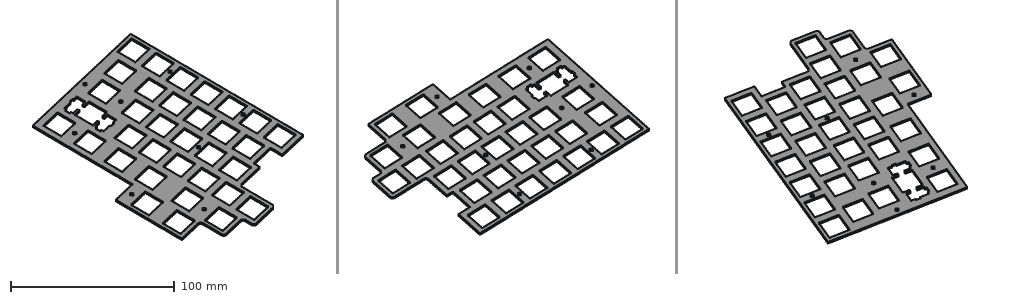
import cadquery as cq

plate_length = 157.5
plate_width = 113.3
plate_thickness = 1.5

number_row_right = 134.9
upper_row_right = 125.6
home_row_right = 130.3
bottom_row_right = 148.5
thumb_left = 78.0
thumb_right = 129.7

number_row_front = 20.6
upper_row_front = 37.2
shift_row_back = 56.9
shift_row_front = 77.0
bottom_row_front = 95.2
left_front = 96.7

corner_radius = 2.0

units_in_grid = 8
grid_length = 152.4
key_pitch = grid_length / units_in_grid
side_margin = 0.2
key_opening = 14.0

key_rows = [
    [0.5, 1.5, 2.5, 3.5, 4.5, 5.5, 6.5],
    [0.75, 2, 3, 4, 5, 6],
    [0.875, 2.25, 3.25, 4.25, 5.25, 6.25],
    [1.125, 2.75, 3.75, 4.75, 5.75, 6.75, 7.75],
    [0.625, 1.875, 3.125, 4.375, 5.875, 7.25],
]
number_row, upper_row, home_row, shift_row, bottom_row = range(len(key_rows))

thumb_key_x = [94.9, 119.6]
thumb_row_from_back = 103.7

hole_diameter = 2.4
holes_between_keys = [
    (number_row, 1),
    (number_row, 4),
    (home_row, 0),
    (home_row, 3),
    (bottom_row, 0),
    (bottom_row, 4),
]
left_hole_x = 3.8
left_hole_from_back = 50.0
thumb_hole_x = 82.7

stabilizer_offset = 12.0
stabilizer_width = 6.8
stabilizer_back = 5.5
stabilizer_front = -6.8
clip_width = 3.3
clip_front = -8.0
wire_slot_half_width = 2.4
side_notch_reach = 4.3
side_notch_back = 2.4
side_notch_front = -0.5


def key_x(units):
    """X of a position given in key units from the left."""
    return side_margin + units * key_pitch


def row_y(row):
    """Y of the key centres in a full-pitch row."""
    return -(row + 0.5) * key_pitch


def box(left, right, front, back):
    """Plate-thick block between the given limits."""
    return (
        cq.Workplane("XY")
        .box(right - left, back - front, plate_thickness, centered=False)
        .translate((left, front, 0))
    )


def plate_blank():
    """Stepped outline with rounded corners along the right side."""
    outline = [
        (0, 0),
        (number_row_right, 0),
        (number_row_right, -number_row_front),
        (upper_row_right, -number_row_front),
        (upper_row_right, -upper_row_front),
        (home_row_right, -upper_row_front),
        (home_row_right, -shift_row_back),
        (plate_length, -shift_row_back),
        (plate_length, -shift_row_front),
        (bottom_row_right, -shift_row_front),
        (bottom_row_right, -bottom_row_front),
        (thumb_right, -bottom_row_front),
        (thumb_right, -plate_width),
        (thumb_left, -plate_width),
        (thumb_left, -left_front),
        (0, -left_front),
    ]
    blank = cq.Workplane("XY").polyline(outline).close().extrude(plate_thickness)
    rounded = cq.selectors.BoxSelector(
        (thumb_right - corner_radius, -bottom_row_front - corner_radius, 0),
        (plate_length + corner_radius, -shift_row_back + corner_radius, plate_thickness),
    )
    return blank.edges("|Z").edges(rounded).fillet(corner_radius)


def key_openings():
    """Square switch openings of all rows and the thumb keys."""
    centers = [
        (key_x(units), row_y(row))
        for row, keys in enumerate(key_rows)
        for units in keys
    ]
    centers += [(x, -thumb_row_from_back) for x in thumb_key_x]
    return (
        cq.Workplane("XY")
        .pushPoints(centers)
        .rect(key_opening, key_opening)
        .extrude(plate_thickness)
    )


def stabilizer_cutout():
    """Two stabilizer housings joined to the shift key opening by a wire slot."""
    cutout = box(-stabilizer_offset, stabilizer_offset, -wire_slot_half_width, wire_slot_half_width)
    for side in (-1, 1):
        center = side * stabilizer_offset
        housing_left = center - stabilizer_width / 2
        housing_right = center + stabilizer_width / 2
        notch_left, notch_right = sorted((center, center + side * side_notch_reach))
        cutout = (
            cutout
            .union(box(housing_left, housing_right, stabilizer_front, stabilizer_back))
            .union(box(center - clip_width / 2, center + clip_width / 2, clip_front, 0))
            .union(box(notch_left, notch_right, side_notch_front, side_notch_back))
        )
    shift_key = key_rows[shift_row][0]
    return cutout.translate((key_x(shift_key), row_y(shift_row), 0))


def mounting_holes():
    """Round holes between keys, at the left edge and beside the thumb keys."""
    centers = [
        (left_hole_x, -left_hole_from_back),
        (thumb_hole_x, -thumb_row_from_back),
    ]
    for row, index in holes_between_keys:
        left_key, right_key = key_rows[row][index:index + 2]
        centers.append((key_x((left_key + right_key) / 2), row_y(row)))
    return (
        cq.Workplane("XY")
        .pushPoints(centers)
        .circle(hole_diameter / 2)
        .extrude(plate_thickness)
    )


result = (
    plate_blank()
    .cut(key_openings())
    .cut(stabilizer_cutout())
    .cut(mounting_holes())
)